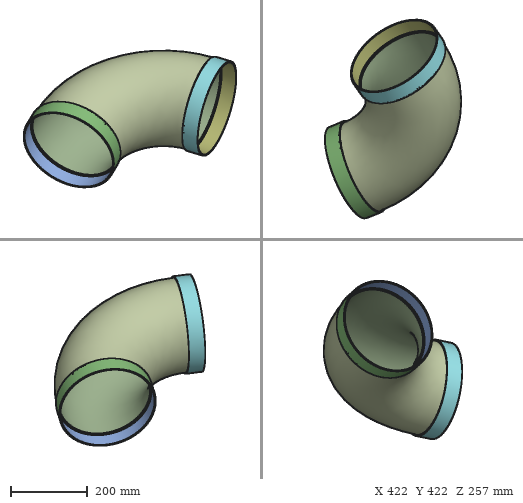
import cadquery as cq

overall_length = 422.0
collar_diameter = 257.0
elbow_diameter = 250.0
collar_length = 43.5
wall = (collar_diameter - elbow_diameter) / 2

bore_diameter = elbow_diameter - 2 * wall
socket_diameter = collar_diameter - 2 * wall
taper_length = wall
socket_depth = collar_length - taper_length

bend_radius = overall_length - collar_length - collar_diameter / 2


def quarter_bend(diameter):
    """Quarter torus from the -Y facing end to the +X facing end."""
    bend_axis_start = (bend_radius, 0, 0)
    bend_axis_end = (bend_radius, -1, 0)
    return (
        cq.Workplane("XZ")
        .center(-bend_radius, 0)
        .circle(diameter / 2)
        .revolve(90, bend_axis_start, bend_axis_end)
    )


def at_both_ends(end_shape):
    """Place a shape built along +Z from the origin on both ends of the bend."""
    facing_front = end_shape.rotate((0, 0, 0), (1, 0, 0), 90).translate((-bend_radius, 0, 0))
    facing_side = end_shape.rotate((0, 0, 0), (0, 1, 0), 90).translate((0, bend_radius, 0))
    return facing_front.union(facing_side)


collar = cq.Workplane("XY").circle(collar_diameter / 2).extrude(collar_length)

socket_cavity = (
    cq.Workplane("XZ")
    .lineTo(bore_diameter / 2, 0)
    .lineTo(socket_diameter / 2, taper_length)
    .lineTo(socket_diameter / 2, taper_length + socket_depth)
    .lineTo(0, taper_length + socket_depth)
    .close()
    .revolve(360, (0, 0, 0), (0, 1, 0))
)

outside = quarter_bend(elbow_diameter).union(at_both_ends(collar))
inside = quarter_bend(bore_diameter).union(at_both_ends(socket_cavity))
result = outside.cut(inside)